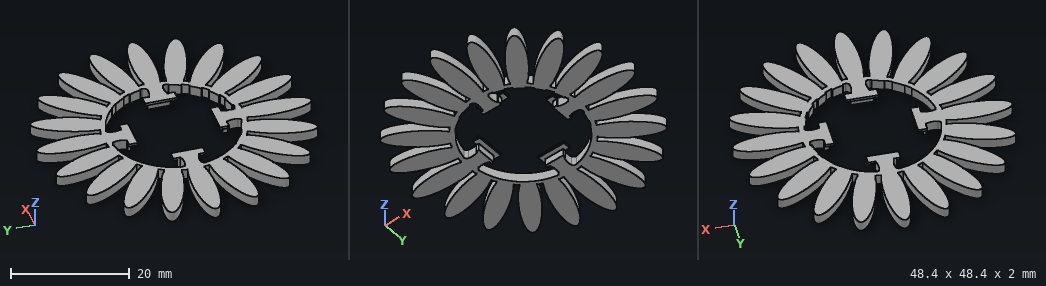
import cadquery as cq
import math

outer_radius = 24.2
thickness = 2.0

petal_count = 20
petal_half_length = 7.0
petal_half_width = 2.0
petal_center_radius = outer_radius - petal_half_length

ring_outer_radius = 12.5
ring_inner_radius = 11.48

bore_radius = 11.45
bore_offset = (-0.15, 0.15)

tab_count = 4
bar_width = 5.7
bar_inner_radius = 7.2
bar_outer_radius = 8.8
lip_thickness = 0.5

foot_setback = 0.85
foot_width = bar_width - 2 * foot_setback

neck_waist_half_width = 1.33
neck_waist_radius = 10.15
neck_arc_radius = 3.35
neck_end_radius = (ring_inner_radius + ring_outer_radius) / 2
neck_fillet = 0.6


def repeat_around(shape, count):
    """Union of copies of a shape spaced evenly about the Z axis."""
    pattern = shape
    for index in range(1, count):
        pattern = pattern.union(shape.rotate((0, 0, 0), (0, 0, 1), index * 360 / count))
    return pattern


def radial_box(width, inner, outer, height):
    """Box centered on the +Y axis, standing on Z = 0, spanning two distances from the center."""
    return (
        cq.Workplane("XY")
        .center(0, (inner + outer) / 2)
        .rect(width, outer - inner)
        .extrude(height)
    )


def neck_half_width(radius):
    """Half width of the neck at a distance from the part center."""
    along = radius - neck_waist_radius
    return neck_waist_half_width + neck_arc_radius - math.sqrt(neck_arc_radius**2 - along**2)


def make_neck():
    inner_half = neck_half_width(bar_outer_radius)
    outer_half = neck_half_width(neck_end_radius)
    return (
        cq.Workplane("XY")
        .moveTo(-inner_half, bar_outer_radius)
        .lineTo(inner_half, bar_outer_radius)
        .threePointArc((neck_waist_half_width, neck_waist_radius), (outer_half, neck_end_radius))
        .lineTo(-outer_half, neck_end_radius)
        .threePointArc((-neck_waist_half_width, neck_waist_radius), (-inner_half, bar_outer_radius))
        .close()
        .extrude(thickness)
    )


def make_bore():
    return cq.Workplane("XY").center(*bore_offset).circle(bore_radius).extrude(thickness)


def make_ring_with_necks():
    ring = cq.Workplane("XY").circle(ring_outer_radius).circle(ring_inner_radius).extrude(thickness)
    body = ring.cut(make_bore()).union(repeat_around(make_neck(), tab_count))

    def is_neck_corner(edge):
        """True for the upright edges where a neck meets the inner wall of the ring."""
        center = edge.Center()
        on_inner_wall = abs(math.hypot(center.x, center.y) - ring_inner_radius) < neck_fillet / 2
        beside_neck = min(abs(center.x), abs(center.y)) < bar_width / 2
        return on_inner_wall and beside_neck

    return body.edges("|Z").filter(is_neck_corner).fillet(neck_fillet)


def make_bars():
    """Thin lips along the top face."""
    lip = radial_box(bar_width, bar_inner_radius, bar_outer_radius, lip_thickness)
    return repeat_around(lip.translate((0, 0, thickness - lip_thickness)), tab_count)


def make_feet():
    """Full-height blocks under the lips, kept within the bar outlines."""
    foot = radial_box(foot_width, bar_inner_radius + foot_setback, neck_waist_radius, thickness)
    bar_outline = radial_box(bar_width, bar_inner_radius, bar_outer_radius, thickness)
    feet = repeat_around(foot, tab_count).translate((*bore_offset, 0))
    return feet.intersect(repeat_around(bar_outline, tab_count))


def make_petals():
    petal = (
        cq.Workplane("XY")
        .center(0, petal_center_radius)
        .ellipse(petal_half_width, petal_half_length)
        .extrude(thickness)
    )
    return repeat_around(petal, petal_count).cut(make_bore())


result = (
    make_ring_with_necks()
    .union(make_petals())
    .union(make_bars())
    .union(make_feet())
)